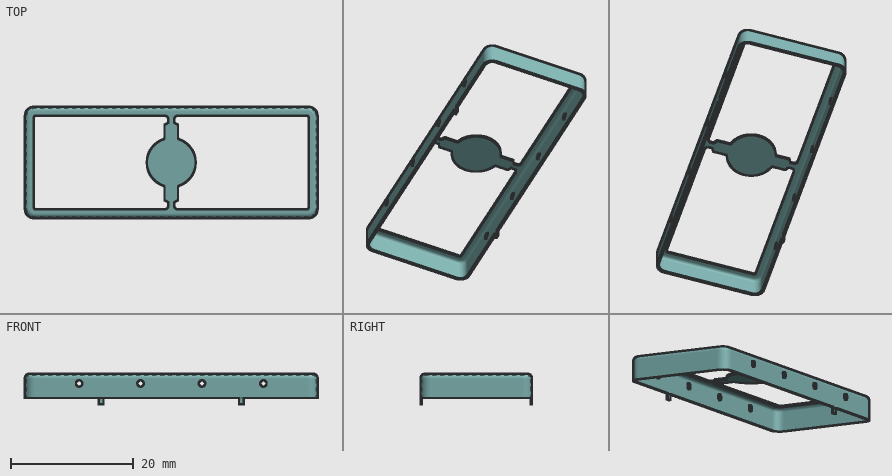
import cadquery as cq
LENGTH = 47.7
WIDTH = 18.2
TOTAL_HEIGHT = 5.0
PIN_HEIGHT = 1.0
CORNER_RADIUS = 1.6
TOP_ROUND = 0.8

WALL = 0.3
RIM_WIDTH = 1.5
OPENING_RADIUS = 0.3

DISC_DIAMETER = 8.0
ARM_WIDTH = 2.2
NECK_WIDTH = 1.0
NECK_LENGTH = 1.1
NECK_FILLET = 0.55
SHOULDER_LENGTH = 0.35
DISC_FILLET = 0.25

HOLE_DIAMETER = 1.0
HOLE_Z = 3.4
HOLE_PITCH = 10.0
HOLE_COUNT = 4

PIN_WIDTH = 0.8
PIN_SPACING = 22.8

OPENING_LENGTH = LENGTH - 2 * RIM_WIDTH
OPENING_WIDTH = WIDTH - 2 * RIM_WIDTH
TOP_FLAT_WIDTH = RIM_WIDTH - TOP_ROUND
LIP_BOTTOM = TOTAL_HEIGHT - WALL


def rounded_block(length, width, radius, bottom, top):
    """Block centred on the Z axis with rounded vertical edges."""
    block = cq.Workplane("XY").workplane(offset=bottom).rect(length, width).extrude(top - bottom)
    return block.edges("|Z").fillet(radius)


def make_walls():
    """Rounded rectangular frame, hollow below the lip and open through it."""
    body = rounded_block(LENGTH, WIDTH, CORNER_RADIUS, PIN_HEIGHT, TOTAL_HEIGHT)
    body = body.faces(">Z").edges().fillet(TOP_ROUND)
    cavity = rounded_block(
        LENGTH - 2 * WALL, WIDTH - 2 * WALL, CORNER_RADIUS - WALL, PIN_HEIGHT, LIP_BOTTOM
    )
    cavity = cavity.faces(">Z").edges().fillet(TOP_ROUND - WALL)
    opening = rounded_block(OPENING_LENGTH, OPENING_WIDTH, OPENING_RADIUS, LIP_BOTTOM, TOTAL_HEIGHT)
    return body.cut(cavity).cut(opening)


def make_arms():
    """Arm bar across the opening that tapers at both ends into narrower necks."""
    neck_x = NECK_WIDTH / 2
    arm_x = ARM_WIDTH / 2
    end_y = (OPENING_WIDTH + TOP_FLAT_WIDTH) / 2
    shoulder_y = OPENING_WIDTH / 2 - NECK_LENGTH
    arm_y = shoulder_y - SHOULDER_LENGTH
    corner = [(neck_x, end_y), (neck_x, shoulder_y), (arm_x, arm_y)]
    right_side = corner + [(x, -y) for x, y in reversed(corner)]
    left_side = [(-x, y) for x, y in reversed(right_side)]
    layer = cq.Workplane("XY").workplane(offset=LIP_BOTTOM)
    return layer.polyline(right_side + left_side).close().extrude(WALL)


def fillet_upright_edges(solid, reach_x, near_y, far_y, radius):
    """Fillet the vertical lip-high edges with |x| < reach_x and |y| from near_y to far_y."""
    for side in (-1, 1):
        zone = cq.selectors.BoxSelector(
            (-reach_x, side * near_y, LIP_BOTTOM), (reach_x, side * far_y, TOTAL_HEIGHT)
        )
        solid = solid.edges("|Z").edges(zone).fillet(radius)
    return solid


def add_tab(frame):
    """Join the disc and its arms to the lip, rounding the neck roots and disc joints."""
    disc_radius = DISC_DIAMETER / 2
    disc = cq.Workplane("XY").workplane(offset=LIP_BOTTOM).circle(disc_radius).extrude(WALL)
    tab = make_arms().union(disc)
    tab = fillet_upright_edges(tab, ARM_WIDTH, disc_radius / 2, disc_radius, DISC_FILLET)
    root_start = OPENING_WIDTH / 2 - NECK_LENGTH / 2
    return fillet_upright_edges(frame.union(tab), ARM_WIDTH, root_start, WIDTH / 2, NECK_FILLET)


def make_pins():
    """Two diagonally opposite pins that continue the long walls downward."""
    x = PIN_SPACING / 2
    y = (WIDTH - WALL) / 2
    pins = cq.Workplane("XY").pushPoints([(x, -y), (-x, y)])
    return pins.rect(PIN_WIDTH, WALL).extrude(PIN_HEIGHT)


def make_holes():
    """Row of cylinders running across the full width."""
    row = cq.Workplane("XZ", origin=(0, 0, HOLE_Z)).rarray(HOLE_PITCH, 1, HOLE_COUNT, 1)
    return row.circle(HOLE_DIAMETER / 2).extrude(WIDTH, both=True)


result = add_tab(make_walls()).union(make_pins()).cut(make_holes())